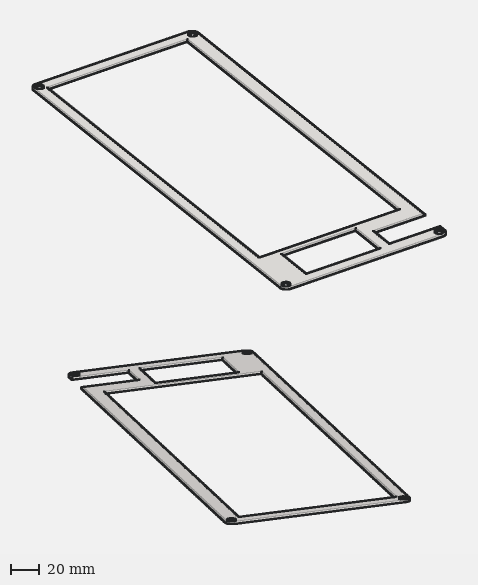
import cadquery as cq

length = 321.0
width = 136.0
thickness = 1.5
corner_radius = 5.0
edge_rounding = 1.0

hole_diameter = 6.0
hole_inset_x = 5.0
hole_inset_y = 4.8

window_left = 9.5
window_rear = 12.2
window_length = 266.0
window_width = 114.5

pocket_left = 281.5
pocket_rear = 51.5
pocket_length = 30.0
pocket_width = 60.0

notch_left = 291.0
notch_length = 18.5
notch_depth = 41.7


def opening(left, rear, size_x, size_y):
    """Rectangular through-cutter placed from the plate's left and rear edges."""
    return (
        cq.Workplane("XY")
        .box(size_x, size_y, thickness, centered=False)
        .translate((left - length / 2, width / 2 - rear - size_y, 0))
    )


plate = (
    cq.Workplane("XY")
    .box(length, width, thickness, centered=(True, True, False))
    .edges("|Z")
    .fillet(corner_radius)
)

frame = (
    plate.cut(opening(window_left, window_rear, window_length, window_width))
    .cut(opening(pocket_left, pocket_rear, pocket_length, pocket_width))
    .cut(opening(notch_left, 0, notch_length, notch_depth))
)

rounded_frame = frame.faces(">Z").edges().fillet(edge_rounding)

screw_holes = (
    cq.Workplane("XY")
    .rect(length - 2 * hole_inset_x, width - 2 * hole_inset_y, forConstruction=True)
    .vertices()
    .circle(hole_diameter / 2)
    .extrude(thickness)
)

result = rounded_frame.cut(screw_holes)